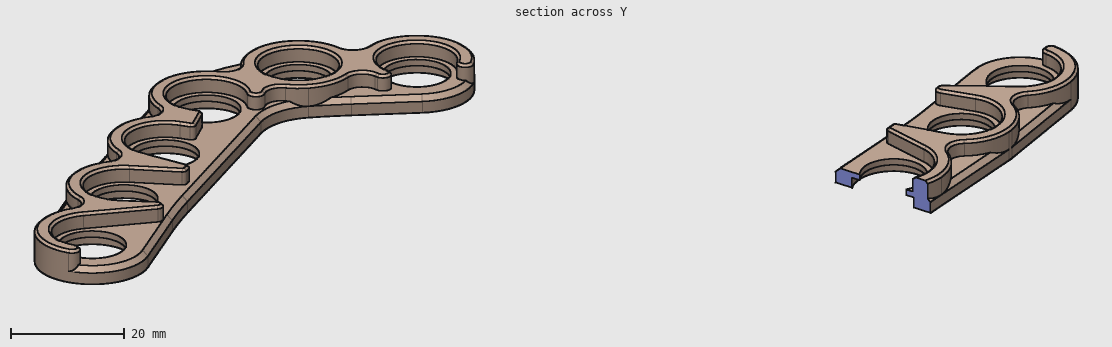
import cadquery as cq
import math

pitch = 21.0
hole_radius = 6.0
ring_outer_radius = 10.2
ring_bore_radius = 7.2
counterbore_radius = 7.4
counterbore_depth = 2.0
base_height = 3.2
total_height = 6.2
base_chamfer = 1.0
ring_chamfer = 0.5
web_fillet = 3.0
blend_radius = 100.0
bend_angle = 60.0
upper_arm_angle = 26.5
lower_arm_angle = 5.0

same_point = 1e-6

first_tail_angle = 9.5
first_inner_tail_angle = -113.0
third_tip_radius = 1.55
sixth_tail_angle = -94.0

stub_upper_reach = 1.95
stub_lower_reach = 2.85
rib_corner_radius = 0.8
middle_rib_slope = 13.0
middle_rib_reach = 8.15
lower_rib_upper_slope = 15.0
lower_rib_lower_slope = 33.0
lower_rib_tip_radius = 1.27


def polar(center, radius, angle):
    """Point at a radius and an angle in degrees around a centre."""
    turn = math.radians(angle)
    return (center[0] + radius * math.cos(turn), center[1] + radius * math.sin(turn))


def direction(start, end):
    """Angle in degrees of the line from start to end."""
    return math.degrees(math.atan2(end[1] - start[1], end[0] - start[0]))


def crossing(point_a, angle_a, point_b, angle_b):
    """Point where two lines, each given by a point and an angle, cross."""
    ax, ay = polar((0, 0), 1, angle_a)
    bx, by = polar((0, 0), 1, angle_b)
    dx, dy = point_b[0] - point_a[0], point_b[1] - point_a[1]
    return polar(point_a, (dx * by - dy * bx) / (ax * by - ay * bx), angle_a)


def arc(center, radius, start, end):
    """Arc as its start, middle and end points."""
    return tuple(polar(center, radius, angle) for angle in (start, (start + end) / 2, end))


def outline(arcs):
    """Closed outline through the arcs in order, with straight lines across the gaps."""
    path = cq.Workplane("XY").moveTo(*arcs[-1][2])
    for previous, (start, middle, end) in zip(arcs[-1:] + arcs[:-1], arcs):
        if math.dist(previous[2], start) > same_point:
            path = path.lineTo(*start)
        path = path.threePointArc(middle, end)
    return path.close()


third = (0.0, 0.0)
second = polar(third, pitch, bend_angle)
first = polar(second, pitch, upper_arm_angle)
fourth = (0.0, -pitch)
fifth = (0.0, -2 * pitch)
sixth = polar(fifth, pitch, lower_arm_angle - 90)
holes = [first, second, third, fourth, fifth, sixth]
bend_center = (pitch, 0.0)


def base_outline():
    """Band of constant width around the hole row, with blended inner corners."""
    r = ring_outer_radius
    bend_end = 180 - bend_angle
    upper_normal = upper_arm_angle + 90

    upper_blend = polar(second, r + blend_radius, -bend_angle)
    to_first = math.dist(upper_blend, first)
    upper_turn = math.degrees(math.acos((r + blend_radius) / to_first))
    upper_blend_end = direction(upper_blend, first) + upper_turn

    half_lean = math.radians(lower_arm_angle / 2)
    lower_blend = (r + blend_radius, fifth[1] + (r + blend_radius) * math.tan(half_lean))

    return outline([
        arc(bend_center, pitch + r, 180, bend_end),
        arc(second, r, bend_end, upper_normal),
        arc(first, r, upper_normal, upper_blend_end - 180),
        arc(upper_blend, blend_radius, upper_blend_end, bend_end),
        arc(bend_center, pitch - r, bend_end, 180),
        arc(lower_blend, blend_radius, 180, 180 + lower_arm_angle),
        arc(sixth, r, lower_arm_angle, lower_arm_angle - 180),
        arc(fifth, r, lower_arm_angle + 180, 180),
    ])


def following(start, end, turn):
    """End angle shifted by full turns to come after start, counterclockwise (1) or clockwise (-1)."""
    return start + turn * ((turn * (end - start)) % 360)


def valley_center(near, far):
    """Centre of the fillet between two rings, on the right of the way from near to far."""
    offset = math.sqrt((ring_outer_radius + web_fillet) ** 2 - (pitch / 2) ** 2)
    middle = ((near[0] + far[0]) / 2, (near[1] + far[1]) / 2)
    return polar(middle, offset, direction(near, far) - 90)


def outer_chain(rings, start, end):
    """Outer arcs of successive rings, counterclockwise, with the fillets between them."""
    arcs = []
    angle = start
    for near, far in zip(rings, rings[1:]):
        center = valley_center(near, far)
        to_near = direction(center, near)
        to_far = direction(center, far)
        arcs.append(arc(near, ring_outer_radius, angle, following(angle, to_near + 180, 1)))
        arcs.append(arc(center, web_fillet, to_near, following(to_near, to_far, -1)))
        angle = to_far + 180
    arcs.append(arc(rings[-1], ring_outer_radius, angle, following(angle, end, 1)))
    return arcs


def bore_edge(ring, start, end):
    """Clockwise arc of a ring's bore."""
    return arc(ring, ring_bore_radius, start, following(start, end, -1))


def tail_cap(ring, angle, start):
    """Half circle that rounds the open end of a ring, counterclockwise from the given start angle."""
    middle = polar(ring, (ring_outer_radius + ring_bore_radius) / 2, angle)
    return arc(middle, (ring_outer_radius - ring_bore_radius) / 2, start, start + 180)


def outgoing_cap(ring, angle):
    """Rounded end from the bore to the outer circle."""
    return tail_cap(ring, angle, angle + 180)


def incoming_cap(ring, angle):
    """Rounded end from the outer circle to the bore."""
    return tail_cap(ring, angle, angle)


def rounded_corner(before, corner, after, radius):
    """Arc that rounds a left-turning corner."""
    heading_in = direction(before, corner)
    turn = (direction(corner, after) - heading_in) % 360
    setback = radius * math.tan(math.radians(turn / 2))
    center = polar(polar(corner, -setback, heading_in), radius, heading_in + 90)
    return arc(center, radius, heading_in - 90, heading_in - 90 + turn)


def raised_outline():
    """Open rings joined by webs and ribs, counterclockwise from the first ring's tail."""
    bore = ring_bore_radius

    lower_rib_start = lower_rib_lower_slope + 90
    lower_rib_end = lower_rib_upper_slope - 90
    lower_rib_root = polar(sixth, bore, lower_rib_start)
    lower_rib_return = polar(fifth, bore, lower_rib_end)
    lower_rib_tip = crossing(lower_rib_root, lower_rib_lower_slope, lower_rib_return, lower_rib_upper_slope)

    middle_rib_start = 90 + middle_rib_slope
    middle_rib_root = polar(fifth, bore, middle_rib_start)
    middle_rib_return = polar(fourth, bore, -middle_rib_start)
    blunt_end = (middle_rib_reach, 0)
    middle_rib_lower_tip = crossing(middle_rib_root, middle_rib_slope, blunt_end, 90)
    middle_rib_upper_tip = crossing(middle_rib_return, -middle_rib_slope, blunt_end, 90)

    stub_root = polar(fourth, bore, 90)
    stub_lower_tip = (stub_lower_reach, fourth[1] + bore)
    stub_upper_tip = (stub_upper_reach, third[1] - bore)
    stub_return = polar(third, bore, -90)

    inner_valley = valley_center(third, second)
    to_valley = direction(third, inner_valley)
    side_bore = bore + third_tip_radius
    side_valley = web_fillet + third_tip_radius
    side_base = math.dist(third, inner_valley)
    tip_cosine = (side_bore**2 + side_base**2 - side_valley**2) / (2 * side_bore * side_base)
    third_tail_angle = to_valley + math.degrees(math.acos(tip_cosine))
    third_tip = polar(third, side_bore, third_tail_angle)
    tip_start = third_tail_angle - 180
    tip_end = following(tip_start, direction(third_tip, inner_valley), 1)
    second_from_valley = direction(inner_valley, second)

    return outline([
        outgoing_cap(first, first_tail_angle),
        *outer_chain(holes, first_tail_angle, sixth_tail_angle),
        incoming_cap(sixth, sixth_tail_angle),
        bore_edge(sixth, sixth_tail_angle, lower_rib_start),
        rounded_corner(lower_rib_root, lower_rib_tip, lower_rib_return, lower_rib_tip_radius),
        bore_edge(fifth, lower_rib_end, middle_rib_start),
        rounded_corner(middle_rib_root, middle_rib_lower_tip, middle_rib_upper_tip, rib_corner_radius),
        rounded_corner(middle_rib_lower_tip, middle_rib_upper_tip, middle_rib_return, rib_corner_radius),
        bore_edge(fourth, -middle_rib_start, 90),
        rounded_corner(stub_root, stub_lower_tip, stub_upper_tip, rib_corner_radius),
        rounded_corner(stub_lower_tip, stub_upper_tip, stub_return, rib_corner_radius),
        bore_edge(third, -90, third_tail_angle),
        arc(third_tip, third_tip_radius, tip_start, tip_end),
        arc(inner_valley, web_fillet, tip_end + 180, following(tip_end + 180, second_from_valley, -1)),
        *outer_chain([second, first], second_from_valley - 180, first_inner_tail_angle),
        incoming_cap(first, first_inner_tail_angle),
        bore_edge(first, first_inner_tail_angle, first_tail_angle),
    ])


def base_plate():
    """Flat lever with a chamfered upper rim."""
    return base_outline().extrude(base_height).faces(">Z").chamfer(base_chamfer)


def raised_layer():
    """Full-height ring layer; only the second ring is closed."""
    layer = raised_outline().extrude(total_height)
    bore = cq.Workplane("XY").center(*second).circle(ring_bore_radius).extrude(total_height)
    return layer.cut(bore).faces(">Z").chamfer(ring_chamfer)


def hole_cutters():
    """Through holes with counterbores from below."""
    through = cq.Workplane("XY").pushPoints(holes).circle(hole_radius).extrude(total_height)
    counterbores = cq.Workplane("XY").pushPoints(holes).circle(counterbore_radius).extrude(counterbore_depth)
    return through.union(counterbores)


def above_base():
    """Material to remove beside the raised layer, down to the base and its chamfer."""
    block = base_outline().extrude(total_height)
    return block.cut(base_plate(), clean=False).cut(raised_layer(), clean=False)


block = base_outline().extrude(total_height)
result = block.cut(above_base(), clean=False).cut(hole_cutters(), clean=False)